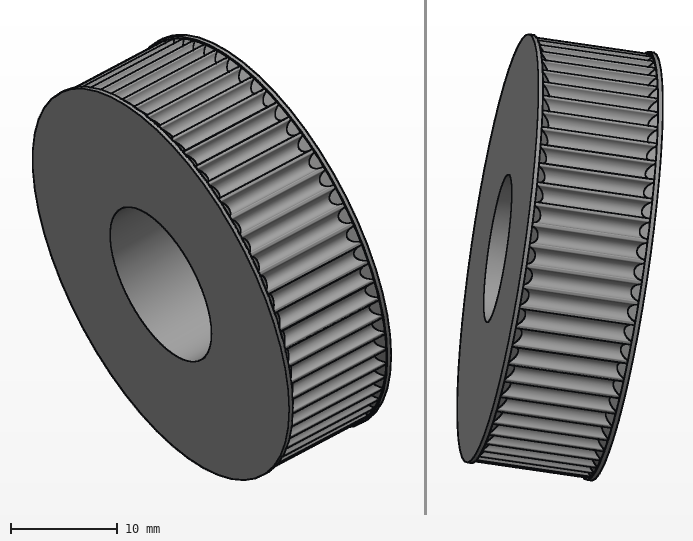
import cadquery as cq
import math

outer_diameter = 40.55
outer_radius = outer_diameter / 2
width = 11.88
half_width = width / 2

bore_diameter = 14.0
counterbore_diameter = 16.0
counterbore_depth = 9.2

rim_width = 0.45
land_radius = 20.05
half_band = half_width - rim_width

tooth_count = 64
groove_depth = 0.75
groove_bottom_radius = 0.73
flank_radius = 0.85
land_edge_radius = 0.12
bottom_half_angle = math.radians(26)
end_slope = math.radians(45)
groove_floor = land_radius - groove_depth


def between(start, end, distance):
    """Point at a distance from start on the line toward end."""
    share = distance / math.dist(start, end)
    return start[0] + share * (end[0] - start[0]), start[1] + share * (end[1] - start[1])


def arc_middle(center, start, end, radius):
    """Middle of the arc around center that joins start and end."""
    chord_middle = ((start[0] + end[0]) / 2, (start[1] + end[1]) / 2)
    return between(center, chord_middle, radius)


def flank_center():
    """Center of the +X flank arc of the top groove, as (x, z)."""
    center_gap = flank_radius - groove_bottom_radius
    x = -center_gap * math.sin(bottom_half_angle)
    z = groove_floor + groove_bottom_radius + center_gap * math.cos(bottom_half_angle)
    return x, z


def land_edge_center(flank):
    """Center of the rounded edge that touches both the land circle and the flank arc."""
    flank_reach = math.hypot(*flank)
    edge_reach = land_radius - land_edge_radius
    spacing = flank_radius + land_edge_radius
    cosine = (flank_reach**2 + edge_reach**2 - spacing**2) / (2 * flank_reach * edge_reach)
    angle = math.atan2(flank[0], flank[1]) + math.acos(cosine)
    return edge_reach * math.sin(angle), edge_reach * math.cos(angle)


def mirrored(point):
    return -point[0], point[1]


def groove_cutter():
    """Cutter for the groove at the top of the wheel, with both ends sloping outward."""
    bottom = (0, groove_floor + groove_bottom_radius)
    flank = flank_center()
    edge = land_edge_center(flank)

    flank_start = between(flank, bottom, flank_radius)
    flank_end = between(flank, edge, flank_radius)
    land_start = between((0, 0), edge, land_radius)
    flank_middle = arc_middle(flank, flank_start, flank_end, flank_radius)
    edge_middle = arc_middle(edge, flank_end, land_start, land_edge_radius)

    bar = (
        cq.Workplane("XZ")
        .moveTo(*mirrored(land_start))
        .threePointArc(mirrored(edge_middle), mirrored(flank_end))
        .threePointArc(mirrored(flank_middle), mirrored(flank_start))
        .threePointArc((0, groove_floor), flank_start)
        .threePointArc(flank_middle, flank_end)
        .threePointArc(edge_middle, land_start)
        .lineTo(land_start[0], outer_radius)
        .lineTo(-land_start[0], outer_radius)
        .close()
        .extrude(half_band, both=True)
    )
    half_floor = half_band - groove_depth / math.tan(end_slope)
    sloped_ends = (
        cq.Workplane("YZ")
        .polyline([
            (-half_floor, groove_floor),
            (half_floor, groove_floor),
            (half_band, land_radius),
            (half_band, outer_radius),
            (-half_band, outer_radius),
            (-half_band, land_radius),
        ])
        .close()
        .extrude(outer_radius, both=True)
    )
    return bar.intersect(sloped_ends)


def wheel_blank():
    """Revolved wheel with both rims, the band between them and the stepped bore."""
    bore = bore_diameter / 2
    counterbore = counterbore_diameter / 2
    step = -half_width + counterbore_depth
    return (
        cq.Workplane("XY")
        .polyline([
            (counterbore, -half_width),
            (outer_radius, -half_width),
            (outer_radius, -half_band),
            (land_radius, -half_band),
            (land_radius, half_band),
            (outer_radius, half_band),
            (outer_radius, half_width),
            (bore, half_width),
            (bore, step),
            (counterbore, step),
        ])
        .close()
        .revolve(360, (0, 0, 0), (0, 1, 0))
    )


cutter = groove_cutter().val()
grooves = [
    cutter.rotate((0, 0, 0), (0, 1, 0), tooth * 360 / tooth_count)
    for tooth in range(tooth_count)
]
result = wheel_blank().cut(cq.Workplane(cq.Compound.makeCompound(grooves)))